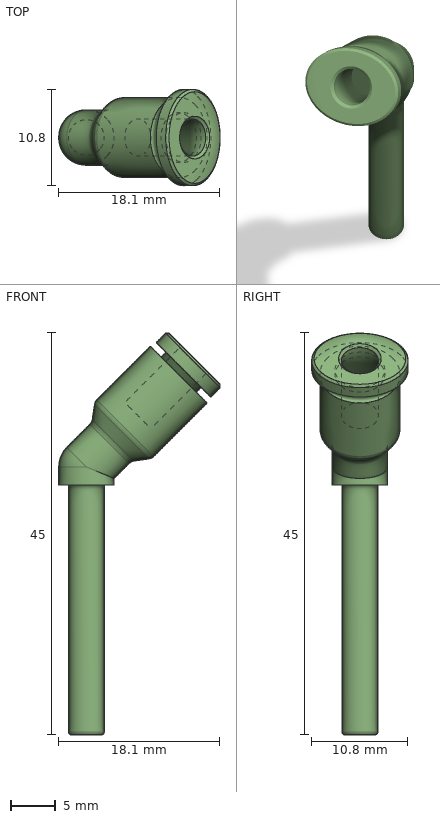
import cadquery as cq
import math

overall_height = 44.95
tilt = 45.0

stem_diameter = 4.0
stem_end_radius = 0.3
elbow_radius = 3.1
collar_height = 2.02

body_radius = 4.5
body_end = 14.6
cone_start = 3.95
cone_end = 5.85
cone_blend_radius = 0.9

neck_radius = 2.8
button_start = 15.38
button_end = 17.15
button_long_radius = 5.4
button_short_radius = 4.3
button_chamfer = 0.25

hole_radius = 2.05
hole_mouth_radius = 2.4
hole_depth = 9.0

tilt_radians = math.radians(tilt)
button_rim_end = button_end - button_chamfer
rim_rise = button_rim_end * math.cos(tilt_radians) + button_short_radius * math.sin(tilt_radians)
elbow_height = overall_height - rim_rise
collar_bottom = elbow_height - collar_height


def revolve_profile(points):
    """Solid of revolution about Z from (radius, height) points."""
    return cq.Workplane("XZ").polyline(points).close().revolve(360, (0, 0), (0, 1))


def make_stem():
    """Long plug-in stem, rounded at its lower end."""
    stem = cq.Workplane("XY").circle(stem_diameter / 2).extrude(elbow_height)
    return stem.faces("<Z").edges().fillet(stem_end_radius)


def make_elbow():
    """Collar on top of the stem, closed by a ball where the two axes meet."""
    collar = (
        cq.Workplane("XY", origin=(0, 0, collar_bottom))
        .circle(elbow_radius)
        .extrude(collar_height)
    )
    ball = cq.Workplane("XY").sphere(elbow_radius).translate((0, 0, elbow_height))
    return collar.union(ball)


def make_body():
    """Throat widening through a blended cone into the socket body, standing along Z."""
    body = revolve_profile([
        (0, 0),
        (elbow_radius, 0),
        (elbow_radius, cone_start),
        (body_radius, cone_end),
        (body_radius, body_end),
        (0, body_end),
    ])
    cone_edges = body.faces("not(%PLANE or %CYLINDER)").edges("%CIRCLE")
    return cone_edges.fillet(cone_blend_radius)


def make_button():
    """Oval release button on its round neck, standing along Z."""
    neck = (
        cq.Workplane("XY", origin=(0, 0, body_end))
        .circle(neck_radius)
        .extrude(button_start - body_end)
    )
    button = (
        cq.Workplane("XY", origin=(0, 0, button_start))
        .ellipse(button_short_radius, button_long_radius)
        .extrude(button_end - button_start)
        .faces(">Z")
        .chamfer(button_chamfer)
    )
    return neck.union(button)


def make_tube_hole():
    """Cutter for the blind tube hole with its 45 degree countersunk mouth."""
    hole_bottom = button_end - hole_depth
    mouth_depth = hole_mouth_radius - hole_radius
    return revolve_profile([
        (0, hole_bottom),
        (hole_radius, hole_bottom),
        (hole_radius, button_end - mouth_depth),
        (hole_mouth_radius, button_end),
        (0, button_end),
    ])


def make_tilted_socket():
    """Body, button and tube hole leaned towards +X about the elbow centre."""
    upright = make_body().union(make_button()).cut(make_tube_hole())
    return upright.rotate((0, 0, 0), (0, 1, 0), tilt).translate((0, 0, elbow_height))


def trim_below_collar(fitting):
    """Remove what the ball and the tilted throat leave below the collar's flat underside."""
    below_collar = cq.Workplane("XY").circle(2 * elbow_radius).extrude(collar_bottom)
    return fitting.cut(below_collar)


result = make_stem().union(trim_below_collar(make_elbow().union(make_tilted_socket())))